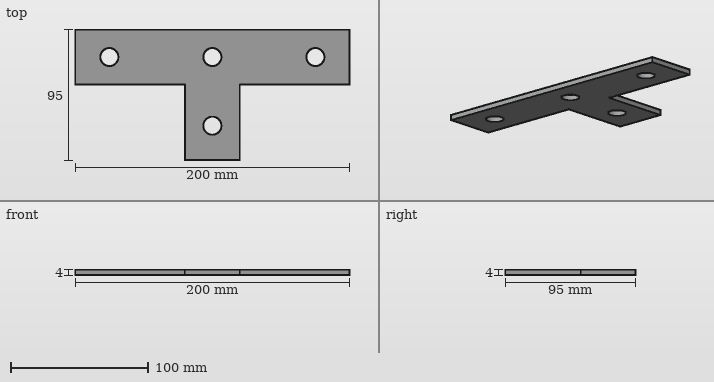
import cadquery as cq

bar_length = 200.0
plate_depth = 95.0
arm_width = 40.0
thickness = 4.0
hole_diameter = 13.0
side_hole_offset = 75.0
stem_hole_offset = 50.0

stem_end_y = arm_width / 2 - plate_depth

crossbar = cq.Workplane("XY").box(bar_length, arm_width, thickness, centered=(True, True, False))

stem = cq.Workplane("XY").box(arm_width, -stem_end_y, thickness, centered=(True, False, False))
stem = stem.translate((0, stem_end_y, 0))

hole_centers = [
    (-side_hole_offset, 0),
    (0, 0),
    (side_hole_offset, 0),
    (0, -stem_hole_offset),
]
holes = cq.Workplane("XY").pushPoints(hole_centers).circle(hole_diameter / 2).extrude(thickness)

result = crossbar.union(stem).clean().cut(holes)